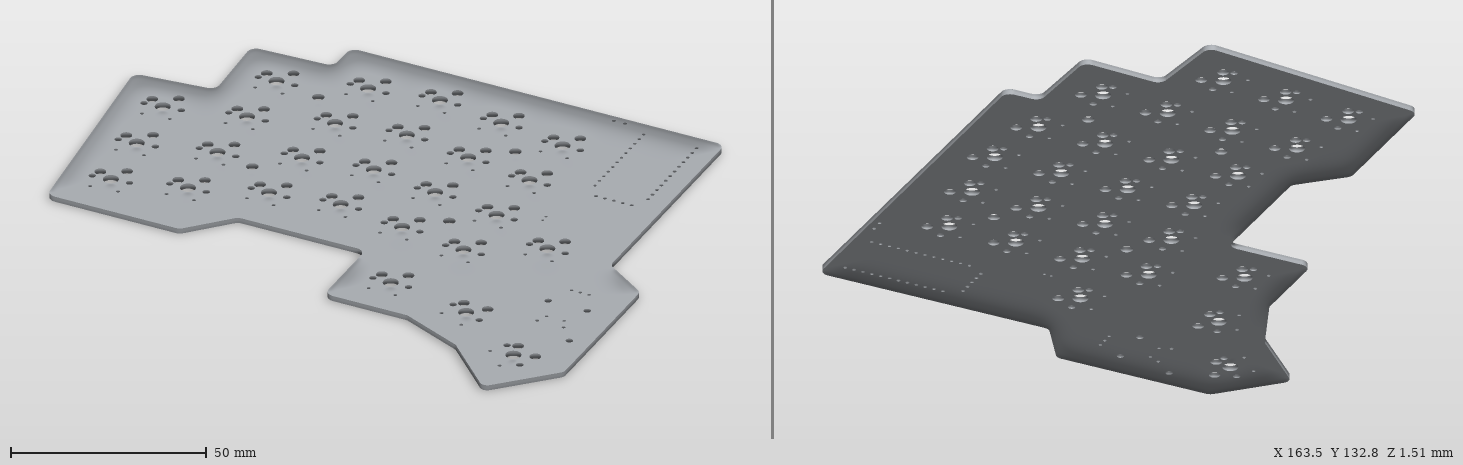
import cadquery as cq
import math


board_width = 163.5
board_depth = 132.85
board_thickness = 1.51
corner_radius = 2.5
tip_radius = 2.0

main_left = 43.98
main_right = 150.8
main_bottom = 45.6
thumb_left = 91.53
thumb_bottom = 21.88
outer_bottom = 33.9

outline = [
    (main_left, board_depth),
    (main_left, 123.06),
    (20.93, 122.02),
    (22.1, 99.34),
    (-0.25, 97.02),
    (6.39, outer_bottom),
    (44.18, outer_bottom),
    (55.16, main_bottom),
    (thumb_left, main_bottom),
    (thumb_left, thumb_bottom),
    (115.2, thumb_bottom),
    (132.7, 14.45),
    (147.95, -0.83),
    (board_width, 14.82),
    (board_width, 58.58),
    (main_right, 67.1),
    (main_right, board_depth),
]

key_pitch = 19.0
stem_diameter = 4.1
socket_diameter = 3.0
peg_diameter = 1.9
lead_diameter = 0.99

socket_points = [(-3.81, 2.54), (2.54, 5.08)]
peg_points = [(-5.08, 0), (5.08, 0)]
lead_points = [(-3.81, -5.0), (3.81, -5.0)]

tilted_columns = [
    (13.65, 85.78, 6, 3),
    (34.16, 109.93, 3, 4),
]

first_upright_x = 56.75
main_top_y = 117.1
inner_top_y = 114.1
upright_columns = [
    (main_top_y, 4),
    (120.1, 4),
    (main_top_y, 4),
    (inner_top_y, 4),
    (67.1, 1),
]

thumb_keys = [
    (first_upright_x + 2.5 * key_pitch, 34.45, 0),
    (128.01, 29.96, -22.5),
    (148.16, 16.55, -45),
]

screw_diameter = 3.2
screw_spacing = 2 * key_pitch
left_screw = (first_upright_x - key_pitch / 2, main_top_y - key_pitch / 2)
right_screw = (first_upright_x + 2.5 * key_pitch, (main_top_y + inner_top_y - key_pitch) / 2)

header_pitch = 2.54
controller_pins = 12
controller_top_y = 128.22
controller_left_x = 129.89
controller_right_x = 145.04
controller_left_diameter = 0.9
controller_right_diameter = 1.0

header_diameter = 1.0
display_header = (132.43, 95.75)
display_pins = 5
power_header = (120.11, 130.84)
power_pitch = 3.17
power_pins = 2
battery_header = (125.44, 81.06)
battery_pitch = 1.96
battery_pins = 2
battery_diameter = 0.75

encoder_x = 149.86
encoder_y = 44.36
encoder_pin_diameter = 0.9
encoder_pin_pitch = 2.5
encoder_signal_y = 51.6
encoder_signal_pins = 3
encoder_switch_y = 37.3
encoder_switch_span = 5.0
encoder_lug_diameter = 1.9
encoder_lug_span = 11.12
encoder_lead_y = 34.39
encoder_lead_span = 7.56
locating_hole = (157.85, 29.2)


def turned(point, angle):
    """Point turned about the origin by an angle in degrees."""
    x, y = point
    cosine = math.cos(math.radians(angle))
    sine = math.sin(math.radians(angle))
    return (x * cosine - y * sine, x * sine + y * cosine)


def pin_row(first, count, step):
    """Evenly spaced points starting at the first one."""
    return [(first[0] + i * step[0], first[1] + i * step[1]) for i in range(count)]


def pair_about(x, y, span):
    """Two points level with each other, centred on x."""
    return [(x - span / 2, y), (x + span / 2, y)]


def drill(body, points, diameter):
    """Body with a through hole at every point."""
    drills = cq.Workplane("XY").pushPoints(points).circle(diameter / 2).extrude(board_thickness)
    return body.cut(drills)


def make_board():
    board = cq.Workplane("XY").polyline(outline).close().extrude(board_thickness)
    board = board.edges("|Z").edges("<Y").fillet(tip_radius)
    tip_top = 2.0
    corners = cq.selectors.BoxSelector(
        (-1, tip_top, -1),
        (board_width + 1, board_depth + 1, board_thickness + 1),
    )
    return board.edges("|Z").edges(corners).fillet(corner_radius)


def key_placements():
    """Stem position and tilt of every key."""
    keys = []
    for x, y, tilt, count in tilted_columns:
        down = turned((0, -key_pitch), tilt)
        keys += [(stem, tilt) for stem in pin_row((x, y), count, down)]
    for i, (y, count) in enumerate(upright_columns):
        x = first_upright_x + i * key_pitch
        keys += [(stem, 0) for stem in pin_row((x, y), count, (0, -key_pitch))]
    keys += [((x, y), tilt) for x, y, tilt in thumb_keys]
    return keys


def at_every_key(points):
    """The given switch points repeated at every key."""
    placed = []
    for stem, tilt in key_placements():
        for point in points:
            x, y = turned(point, tilt)
            placed.append((stem[0] + x, stem[1] + y))
    return placed


def drill_keys(body):
    body = drill(body, at_every_key([(0, 0)]), stem_diameter)
    body = drill(body, at_every_key(socket_points), socket_diameter)
    body = drill(body, at_every_key(peg_points), peg_diameter)
    return drill(body, at_every_key(lead_points), lead_diameter)


def drill_screws(body):
    points = []
    for upper in (left_screw, right_screw):
        points += pin_row(upper, 2, (0, -screw_spacing))
    return drill(body, points, screw_diameter)


def drill_controller(body):
    down = (0, -header_pitch)
    left_row = pin_row((controller_left_x, controller_top_y), controller_pins, down)
    right_row = pin_row((controller_right_x, controller_top_y), controller_pins, down)
    body = drill(body, left_row, controller_left_diameter)
    return drill(body, right_row, controller_right_diameter)


def drill_headers(body):
    display_row = pin_row(display_header, display_pins, (header_pitch, 0))
    power_row = pin_row(power_header, power_pins, (power_pitch, 0))
    battery_row = pin_row(battery_header, battery_pins, (0, -battery_pitch))
    body = drill(body, display_row + power_row, header_diameter)
    return drill(body, battery_row, battery_diameter)


def drill_encoder(body):
    first_signal = (encoder_x - encoder_pin_pitch, encoder_signal_y)
    pins = pin_row(first_signal, encoder_signal_pins, (encoder_pin_pitch, 0))
    pins += pair_about(encoder_x, encoder_switch_y, encoder_switch_span)
    lugs = pair_about(encoder_x, encoder_y, encoder_lug_span) + [locating_hole]
    leads = pair_about(encoder_x, encoder_lead_y, encoder_lead_span)
    body = drill(body, pins, encoder_pin_diameter)
    body = drill(body, lugs, encoder_lug_diameter)
    return drill(body, leads, lead_diameter)


result = make_board()
result = drill_keys(result)
result = drill_screws(result)
result = drill_controller(result)
result = drill_headers(result)
result = drill_encoder(result)